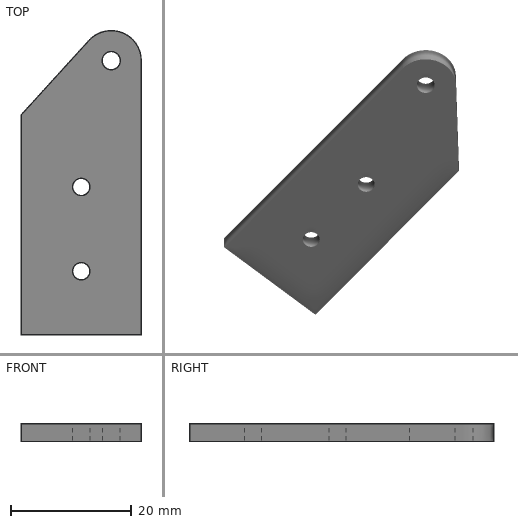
import cadquery as cq
import math

width = 20.0
length = 50.6
thickness = 3.0
shoulder_y = 36.6

lug_radius = 5.0
lug_x = width - lug_radius
lug_y = length - lug_radius
lug_hole_diameter = 3.0

mount_hole_diameter = 2.85
mount_hole_heights = (10.6, 24.6)


def lug_point(angle):
    """Point on the lug's round edge, with the angle measured from +X."""
    return (lug_x + lug_radius * math.cos(angle), lug_y + lug_radius * math.sin(angle))


def make_plate():
    rise = lug_y - shoulder_y
    slope_angle = math.atan2(rise, lug_x) + math.asin(lug_radius / math.hypot(lug_x, rise))
    tangent_angle = slope_angle + math.pi / 2
    return (
        cq.Workplane("XY")
        .lineTo(width, 0)
        .lineTo(width, lug_y)
        .threePointArc(lug_point(tangent_angle / 2), lug_point(tangent_angle))
        .lineTo(0, shoulder_y)
        .close()
        .extrude(thickness)
    )


def make_pin(x, y, diameter):
    """Cylinder that cuts a hole through the plate."""
    return cq.Workplane("XY").center(x, y).circle(diameter / 2).extrude(thickness)


result = make_plate().cut(make_pin(lug_x, lug_y, lug_hole_diameter))
for hole_y in mount_hole_heights:
    result = result.cut(make_pin(width / 2, hole_y, mount_hole_diameter))